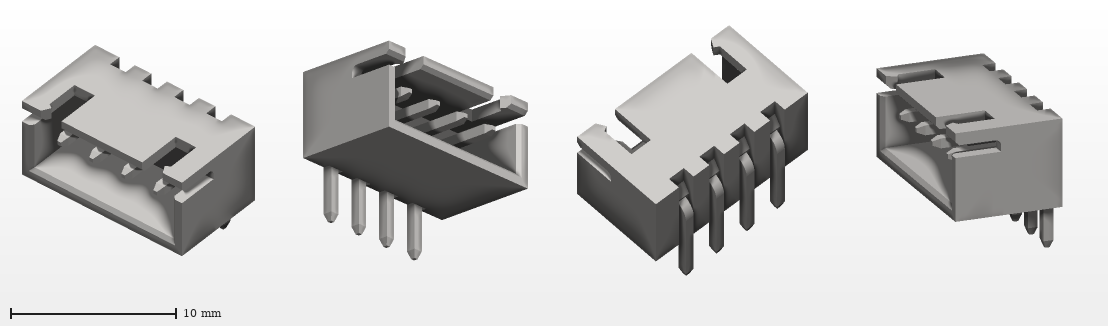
import cadquery as cq
import math


width = 12.51
depth = 7.0
height = 5.69
wall = 0.8
cavity_depth = 5.0
rim_chamfer = 0.25

side_slot_depth = 3.0
side_slot_height = 0.79
side_slot_radius = 0.41

window_inner = 3.15
window_outer = 4.75
window_depth = 3.2
barb_width = 0.34
barb_tip = 0.6
barb_root = 0.81

notch_width = 1.21
notch_top_depth = 0.88
notch_depth = 0.41
notch_slope_start = 1.25
notch_slope_angle = 60.0

pin_count = 4
pin_pitch = 2.5
pin_size = 0.64
pin_front = 0.5
pin_center_z = 3.34
pin_bend_radius = 2 * pin_size
pin_rear_overhang = 0.31
tail_length = 3.4
tip_length = 0.5
tip_size = 0.28

floor_z = wall
ceiling_z = height - wall
pin_positions = [(i - (pin_count - 1) / 2) * pin_pitch for i in range(pin_count)]


def box(x_range, y_range, z_range):
    """Axis-aligned block between the given limits."""
    size = [high - low for low, high in (x_range, y_range, z_range)]
    corner = (x_range[0], y_range[0], z_range[0])
    return cq.Workplane("XY").box(*size, centered=False).translate(corner)


def side_profile(points, x_range):
    """Polygon in the YZ plane, extruded along X."""
    start, end = x_range
    return cq.Workplane("YZ", origin=(start, 0, 0)).polyline(points).close().extrude(end - start)


def cavity():
    """Mating cavity with a mouth that flares all round; the flare also bevels the plate edge."""
    half = width / 2 - wall
    middle_z = (floor_z + ceiling_z) / 2
    opening = box((-half, half), (0, cavity_depth), (floor_z, ceiling_z))
    flare = (
        cq.Workplane("XZ", origin=(0, 0, middle_z))
        .rect(2 * (half + rim_chamfer), ceiling_z - floor_z + 2 * rim_chamfer)
        .workplane(offset=-rim_chamfer)
        .rect(2 * half, ceiling_z - floor_z)
        .loft(ruled=True)
    )
    return opening.union(flare)


def side_slot():
    """Slot across the full width, rounded at its upper rear edge."""
    z_range = (ceiling_z - side_slot_height, ceiling_z)
    slot = box((-width / 2, width / 2), (0, side_slot_depth), z_range)
    return slot.edges("|X and >Y and >Z").fillet(side_slot_radius)


def plate_bevel():
    """Bevel carrying the mouth flare on across the full lower front edge of the top plate."""
    points = [(0, ceiling_z), (rim_chamfer, ceiling_z), (0, ceiling_z + rim_chamfer)]
    return side_profile(points, (-width / 2, width / 2))


def latch_window():
    """Window at +X through the top plate, with a barb near the front of its outer side."""
    return (
        cq.Workplane("XY", origin=(0, 0, ceiling_z))
        .polyline([
            (window_inner, 0),
            (window_outer, 0),
            (window_outer - barb_width, barb_tip),
            (window_outer, barb_root),
            (window_outer, window_depth),
            (window_inner, window_depth),
        ])
        .close()
        .extrude(wall)
    )


def rear_notch(x):
    """Notch in the rear face around one tail, deeper above a sloping step."""
    step_y = depth - notch_depth
    deep_y = depth - notch_top_depth
    step_top = height - notch_slope_start
    slope_drop = (notch_top_depth - notch_depth) * math.tan(math.radians(notch_slope_angle))
    points = [
        (depth, 0),
        (step_y, 0),
        (step_y, step_top - slope_drop),
        (deep_y, step_top),
        (deep_y, height),
        (depth, height),
    ]
    return side_profile(points, (x - notch_width / 2, x + notch_width / 2))


def tapered_tip(plane):
    """Frustum growing from the full pin section to its blunt end."""
    return (
        cq.Workplane(plane)
        .rect(pin_size, pin_size)
        .workplane(offset=tip_length)
        .rect(tip_size, tip_size)
        .loft(ruled=True)
    )


def pin(x):
    """Square pin: contact along Y, rounded bend, tail down, both ends tapered."""
    rear = depth + pin_rear_overhang
    tail_y = rear - pin_size / 2
    contact_start = pin_front + tip_length
    tail_end = tip_length - tail_length
    x_range = (x - pin_size / 2, x + pin_size / 2)
    bottom = pin_center_z - pin_size / 2
    top = pin_center_z + pin_size / 2
    points = [
        (contact_start, bottom),
        (rear - pin_size, bottom),
        (rear - pin_size, tail_end),
        (rear, tail_end),
        (rear, top),
        (contact_start, top),
    ]
    bent_bar = side_profile(points, x_range).edges("|X and >Y and >Z").fillet(pin_bend_radius)
    contact_tip = tapered_tip("XZ").translate((x, contact_start, pin_center_z))
    tail_tip = tapered_tip(cq.Plane((0, 0, 0), xDir=(1, 0, 0), normal=(0, 0, -1)))
    return bent_bar.union(contact_tip).union(tail_tip.translate((x, tail_y, tail_end)))


shroud = box((-width / 2, width / 2), (0, depth), (0, height))
window = latch_window()
for cutter in (cavity(), side_slot(), plate_bevel(), window, window.mirror("YZ")):
    shroud = shroud.cut(cutter)

result = shroud
for pin_x in pin_positions:
    result = result.cut(rear_notch(pin_x))
    result = result.union(pin(pin_x))